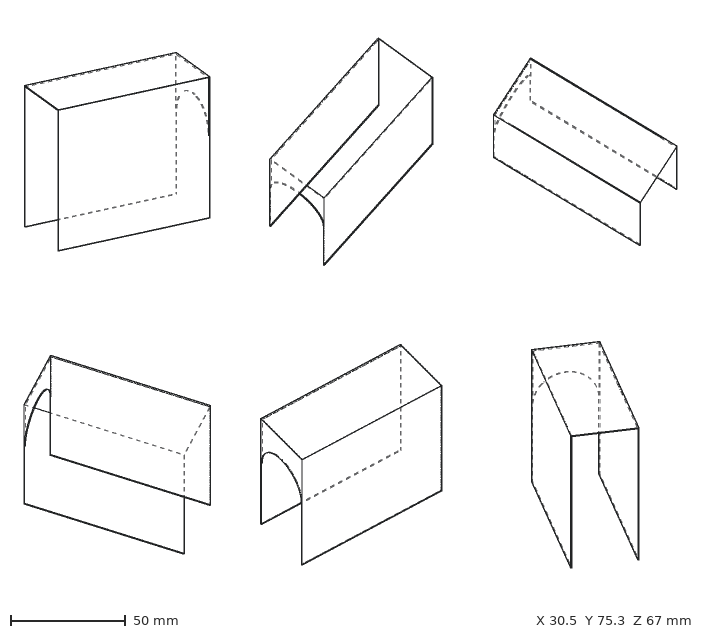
import cadquery as cq

width = 30.5
length = 75.3
height = 67.0

wall = 0.5
end_plate = 0.5

arch_radius = width / 2 - wall
arch_top = 53.8
arch_center_z = arch_top - arch_radius


def channel():
    """Thin cover with a roof and two side walls, open below and at both ends."""
    outer = cq.Workplane("XY").box(width, length, height, centered=(True, True, False))
    inside = cq.Workplane("XY").box(
        width - 2 * wall, length, height - wall, centered=(True, True, False)
    )
    return outer.cut(inside)


def arched_plate():
    """Plate closing the +Y end, cut away below by an arch between the walls."""
    return (
        cq.Workplane("XZ", origin=(0, length / 2, 0))
        .moveTo(-width / 2, height)
        .lineTo(-width / 2, arch_center_z)
        .lineTo(-arch_radius, arch_center_z)
        .threePointArc((0, arch_top), (arch_radius, arch_center_z))
        .lineTo(width / 2, arch_center_z)
        .lineTo(width / 2, height)
        .close()
        .extrude(end_plate)
    )


result = channel().union(arched_plate())